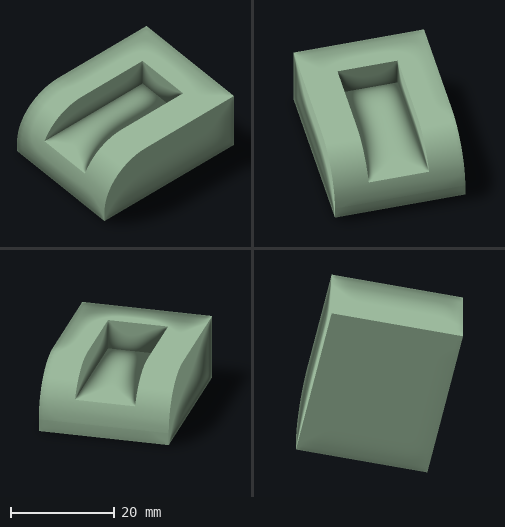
import cadquery as cq

length = 33.0
width = 26.0
height = 13.0
nose_radius = 10.5

wall = 7.0
pocket_depth = 6.0
pocket_width = width - 2 * wall
pocket_length = length - wall


def rounded_block():
    """Block with its front face at Y = 0, its base at Z = 0 and centred on X."""
    block = cq.Workplane("XY").box(width, length, height, centered=(True, False, False))
    return block.faces(">Z").edges("<Y").fillet(nose_radius)


def pocket():
    """Flat-floored cutter that runs out through the rounded front."""
    return (
        cq.Workplane("XY")
        .box(pocket_width, pocket_length, pocket_depth, centered=(True, False, False))
        .translate((0, 0, height - pocket_depth))
    )


result = rounded_block().cut(pocket())